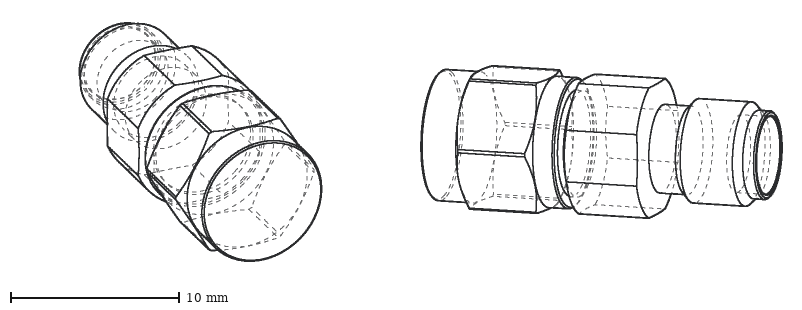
import cadquery as cq
import math

jack_lip_end = 0.78
thread_start = 1.27
thread_end = 4.53
neck_start = 4.98
body_start = 6.65
body_full_start = 7.0
body_full_end = 11.38
body_end = 11.8
nut_start = 12.18
hex_start = 13.49
hex_end = 18.29
nut_end = 20.5

lip_radius = 2.65
thread_radius = 3.12
body_radius = 4.25
groove_radius = 3.18
nut_radius = 3.92
hex_trim_diameter = 9.0
hex_corner_radius = hex_trim_diameter / 2
bore_radius = 2.32

across_flats = 7.9
edge_chamfer = 0.1
bore_chamfer = 0.06
hex_chamfer_length = 0.3
bore_depth = 1.9


def turned(profile):
    """Revolve (x, radius) points around the X axis, closing the outline on the axis."""
    outline = [(profile[0][0], 0), *profile, (profile[-1][0], 0)]
    return cq.Workplane("XY").polyline(outline).close().revolve(360, (0, 0), (1, 0))


def section(x):
    """Workplane across the axis at x, with local axes along Y and Z."""
    return cq.Workplane("YZ", origin=(x, 0, 0))


def make_jack():
    return turned([
        (0, lip_radius - edge_chamfer),
        (edge_chamfer, lip_radius),
        (jack_lip_end, lip_radius),
        (thread_start, thread_radius),
        (thread_end, thread_radius),
        (neck_start, lip_radius),
        (body_start, lip_radius),
    ])


def make_body():
    """Round body with coned ends and four flats facing Y and Z."""
    blank = turned([
        (body_start, lip_radius),
        (body_full_start, body_radius),
        (body_full_end, body_radius),
        (body_end, groove_radius),
    ])
    flats = section(body_start).rect(across_flats, across_flats).extrude(body_end - body_start)
    return blank.intersect(flats)


def make_groove():
    return section(body_end).circle(groove_radius).extrude(nut_start - body_end)


def make_nut_sleeve():
    length = nut_end - nut_start
    return section(nut_start).circle(nut_radius).extrude(length).faces("<X or >X").chamfer(edge_chamfer)


def make_nut_hex():
    """Hexagon with corners on the Y axis, trimmed by a coned round blank."""
    blank = turned([
        (hex_start, nut_radius),
        (hex_start + hex_chamfer_length, hex_corner_radius),
        (hex_end - hex_chamfer_length, hex_corner_radius),
        (hex_end, nut_radius),
    ])
    across_corners = across_flats / math.cos(math.pi / 6)
    hexagon = section(hex_start).polygon(6, across_corners).extrude(hex_end - hex_start)
    return blank.intersect(hexagon)


def make_bore():
    return turned([
        (0, bore_radius + bore_chamfer),
        (bore_chamfer, bore_radius),
        (bore_depth, bore_radius),
    ])


result = (
    make_jack()
    .union(make_body())
    .union(make_groove())
    .union(make_nut_sleeve())
    .union(make_nut_hex())
    .cut(make_bore())
)